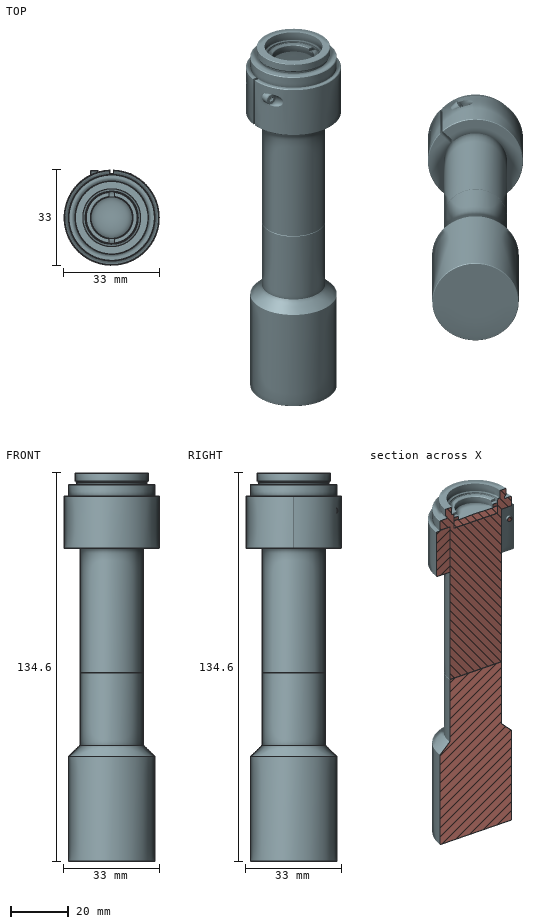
import cadquery as cq
import math

total_height = 134.6
bell_height = 36.3
neck_height = 40.2
joint_height = 65.4
collar_bottom = 108.5
collar_top = 126.6
shoulder_top = 130.7
rim_height = 2.7

tube_diameter = 22.0
bell_diameter = 30.0
collar_diameter = 33.0
rim_diameter = 25.5
rim_neck_diameter = 24.4
edge_chamfer = 0.2
rim_chamfer = 0.1

mouth_diameter = 20.0
mouth_depth = 3.0
seat_diameter = 18.5
ring_diameter = 18.0
ring_opening = 14.4
ring_drop = 0.5
ring_thickness = 2.5
ring_slot_width = 2.0
ring_slot_depth = 1.1
lens_thickness = 2.7
lens_dome = 0.3

clamp_slot_width = 1.2
screw_y = 14.3
screw_z = 121.5
head_diameter = 4.0
head_chamfer = 0.3
head_pocket_diameter = 4.6
head_face_x = -7.4
head_seat_x = -4.7
shank_diameter = 2.0
shank_end_x = 6.7
hex_across_flats = 1.5
hex_depth = 1.3

mouth_floor = total_height - mouth_depth
ring_top = mouth_floor - ring_drop
lens_edge = ring_top - ring_thickness
lens_bottom = lens_edge - lens_thickness


def cylinder(diameter, bottom, top):
    return cq.Workplane("XY").workplane(offset=bottom).circle(diameter / 2).extrude(top - bottom)


def turned(points):
    """Revolve an outline of (radius, height) points about the Z axis."""
    return cq.Workplane("XZ").polyline(points).close().revolve(360, (0, 0), (0, 1))


def rod_along_x(diameter, start, end):
    """Cylinder on the axis of the clamp screw."""
    plane = cq.Workplane("YZ", origin=(start, screw_y, screw_z))
    return plane.circle(diameter / 2).extrude(end - start)


def make_lower_barrel():
    """Wide bell that tapers into the narrow tube."""
    tube_radius = tube_diameter / 2
    bell_radius = bell_diameter / 2
    return turned([
        (0, 0),
        (bell_radius - edge_chamfer, 0),
        (bell_radius, edge_chamfer),
        (bell_radius, bell_height),
        (tube_radius, neck_height),
        (tube_radius, joint_height - edge_chamfer),
        (tube_radius - edge_chamfer, joint_height),
        (0, joint_height),
    ])


def make_upper_barrel():
    """Narrow tube with a shoulder, a necked rim and a stepped mouth."""
    tube_radius = tube_diameter / 2
    shoulder_radius = bell_diameter / 2
    rim_radius = rim_diameter / 2
    rim_neck_radius = rim_neck_diameter / 2
    rim_bottom = total_height - rim_height
    rim_undercut = rim_radius - rim_neck_radius
    body = turned([
        (0, joint_height),
        (tube_radius, joint_height),
        (tube_radius, collar_top),
        (shoulder_radius, collar_top),
        (shoulder_radius, shoulder_top - edge_chamfer),
        (shoulder_radius - edge_chamfer, shoulder_top),
        (rim_neck_radius, shoulder_top),
        (rim_neck_radius, rim_bottom - rim_undercut),
        (rim_radius, rim_bottom),
        (rim_radius, total_height - rim_chamfer),
        (rim_radius - rim_chamfer, total_height),
        (0, total_height),
    ])
    body = body.cut(cylinder(mouth_diameter, mouth_floor, total_height))
    body = body.cut(cylinder(seat_diameter, ring_top, mouth_floor))
    return body.cut(cylinder(ring_diameter, lens_bottom, ring_top))


def make_retaining_ring():
    """Threaded ring with two spanner slots across its top face."""
    ring = cylinder(ring_diameter, lens_edge, ring_top).cut(cylinder(ring_opening, lens_edge, ring_top))
    ring = ring.faces(">Z").edges().chamfer(edge_chamfer)
    slots = cq.Workplane("XY").workplane(offset=ring_top - ring_slot_depth)
    slots = slots.rect(ring_slot_width, ring_diameter).extrude(ring_slot_depth)
    return ring.cut(slots)


def make_lens():
    """Disc under the retaining ring with a shallow dome inside the ring's opening."""
    dome_edge = ring_opening / 2
    dome_radius = (dome_edge**2 + lens_dome**2) / (2 * lens_dome)
    dome_top = lens_edge + lens_dome
    ball = cq.Workplane("XY").sphere(dome_radius).rotate((0, 0, 0), (1, 0, 0), 90)
    ball = ball.translate((0, 0, dome_top - dome_radius))
    dome = cylinder(ring_opening, lens_bottom, dome_top).intersect(ball)
    return cylinder(ring_diameter, lens_bottom, lens_edge).union(dome)


def make_collar():
    """Clamp collar, split on the +Y side and bored for its screw."""
    collar = cylinder(collar_diameter, collar_bottom, collar_top).edges().chamfer(edge_chamfer)
    collar = collar.cut(cylinder(tube_diameter, collar_bottom, collar_top))
    slot_length = collar_diameter / 2
    slot = cq.Workplane("XY").workplane(offset=collar_bottom).center(0, slot_length / 2)
    slot = slot.rect(clamp_slot_width, slot_length).extrude(collar_top - collar_bottom)
    pocket = rod_along_x(head_pocket_diameter, -collar_diameter / 2, head_seat_x)
    screw_hole = rod_along_x(shank_diameter, head_seat_x, shank_end_x)
    return collar.cut(slot).cut(pocket).cut(screw_hole)


def make_clamp_screw():
    """Socket-head screw that closes the collar's slot."""
    screw = rod_along_x(head_diameter, head_face_x, head_seat_x).faces("<X").chamfer(head_chamfer)
    screw = screw.union(rod_along_x(shank_diameter, head_seat_x, shank_end_x))
    hex_corners = hex_across_flats / math.cos(math.pi / 6)
    socket = cq.Workplane("YZ", origin=(head_face_x, screw_y, screw_z)).polygon(6, hex_corners)
    return screw.cut(socket.extrude(hex_depth))


lower_barrel = make_lower_barrel()
upper_barrel = make_upper_barrel()
retaining_ring = make_retaining_ring()
lens = make_lens()
collar = make_collar()
clamp_screw = make_clamp_screw()

bodies = [lower_barrel, upper_barrel, retaining_ring, lens, collar, clamp_screw]
result = cq.Compound.makeCompound([body.solids().val() for body in bodies])